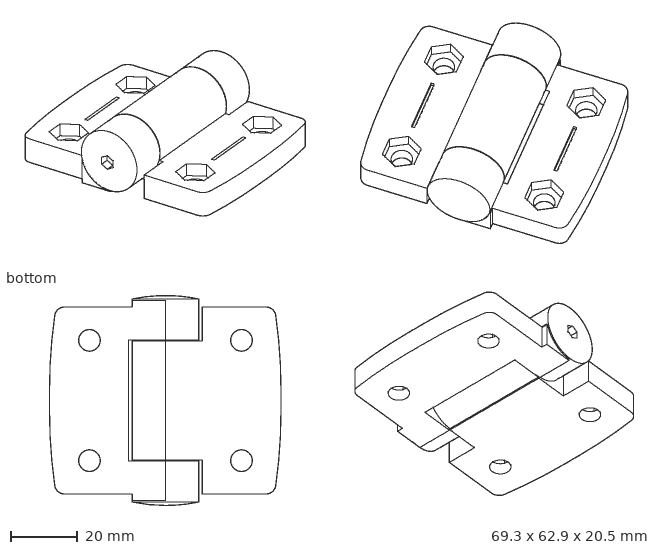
import cadquery as cq
import math

hinge_width = 69.33
cap_tip_span = 62.9

leaf_thickness = 8.0
leaf_length = 56.0
leaf_inner_x = 11.0
right_leaf_reach = 34.6
left_leaf_reach = hinge_width - right_leaf_reach
side_flat_length = 6.8
side_sag = 1.95
corner_radius = 3.0

barrel_radius = 10.0
axis_height = 10.5
barrel_length = 60.8
web_length = 60.0
middle_knuckle_length = 35.7
knuckle_gap = 0.2
pin_radius = 5.0

hole_diameter = 6.4
hole_x = 22.75
hole_spacing_y = 36.0
hex_across_flats = 10.2
hex_depth = 4.0

groove_width = 1.0
groove_length = 17.0
groove_depth = 1.0
groove_corner_radius = 0.1

socket_across_flats = 4.0
socket_depth = 3.0

middle_half = middle_knuckle_length / 2
outer_start = middle_half + knuckle_gap
hole_y = hole_spacing_y / 2


def hexagon_prism(plane, across_flats, depth):
    """Hexagonal prism on a plane through the origin, with two corners on the plane's Y axis."""
    across_corners = across_flats / math.cos(math.pi / 6)
    sketch_plane = cq.Workplane(plane).transformed(rotate=(0, 0, 90))
    return sketch_plane.polygon(6, across_corners).extrude(depth)


def box(x_min, x_max, y_min, y_max, height):
    """Block standing on the bottom plane."""
    size_x = x_max - x_min
    size_y = y_max - y_min
    block = cq.Workplane("XY").box(size_x, size_y, height, centered=False)
    return block.translate((x_min, y_min, 0))


def axis_cylinder(radius, y_min, y_max):
    """Cylinder on the hinge axis between two Y positions, its seam at the bottom."""
    plane = cq.Plane(origin=(0, y_min, axis_height), xDir=(0, 0, -1), normal=(0, 1, 0))
    return cq.Workplane(plane).circle(radius).extrude(y_max - y_min)


def leaf_plate(leaf_outer_x):
    """Plate on the +X side out to the given X, with a bowed outer edge and rounded outer corners."""
    half_length = leaf_length / 2
    half_flat = side_flat_length / 2
    run = half_length - half_flat
    bow_radius = (run**2 + side_sag**2) / (2 * side_sag)
    middle_run = run / 2
    middle_sag = bow_radius - math.sqrt(bow_radius**2 - middle_run**2)
    corner_x = leaf_outer_x - side_sag
    bow_x = leaf_outer_x - middle_sag
    bow_y = half_flat + middle_run
    plate = (
        cq.Workplane("XY")
        .moveTo(leaf_inner_x, -half_length)
        .lineTo(corner_x, -half_length)
        .threePointArc((bow_x, -bow_y), (leaf_outer_x, -half_flat))
        .lineTo(leaf_outer_x, half_flat)
        .threePointArc((bow_x, bow_y), (corner_x, half_length))
        .lineTo(leaf_inner_x, half_length)
        .close()
        .extrude(leaf_thickness)
    )
    for side in (-1, 1):
        corner = cq.selectors.NearestToPointSelector((corner_x, side * half_length, leaf_thickness / 2))
        plate = plate.edges("|Z").edges(corner).fillet(corner_radius)
    return plate


def cut_leaf_details(plate):
    """Screw holes, hexagonal recesses and the groove of the +X plate."""
    hole_points = [(hole_x, -hole_y), (hole_x, hole_y)]
    hole = cq.Workplane("XY").circle(hole_diameter / 2).extrude(leaf_thickness)
    hexagon = hexagon_prism("XY", hex_across_flats, hex_depth)
    for x, y in hole_points:
        plate = plate.cut(hole.translate((x, y, 0)))
        plate = plate.cut(hexagon.translate((x, y, leaf_thickness - hex_depth)))
    groove = (
        cq.Workplane("XY", origin=(hole_x, 0, leaf_thickness - groove_depth))
        .rect(groove_width, groove_length)
        .extrude(groove_depth)
        .edges("|Z")
        .fillet(groove_corner_radius)
    )
    return plate.cut(groove)


def end_cap():
    """Domed cap on the +Y end of the barrel."""
    base_y = barrel_length / 2
    rise = cap_tip_span / 2 - base_y
    dome_radius = (barrel_radius**2 + rise**2) / (2 * rise)
    mid_x = barrel_radius / 2
    mid_y = base_y + rise - dome_radius + math.sqrt(dome_radius**2 - mid_x**2)
    dome = (
        cq.Workplane("XY")
        .moveTo(0, base_y)
        .lineTo(barrel_radius, base_y)
        .threePointArc((mid_x, mid_y), (0, base_y + rise))
        .close()
        .revolve(360, (0, 0, 0), (0, 1, 0))
    )
    return dome.translate((0, 0, axis_height))


def middle_leaf():
    """+X leaf, carrying the middle knuckle."""
    web = box(0, leaf_inner_x, -middle_half, middle_half, leaf_thickness)
    barrel = axis_cylinder(barrel_radius, -middle_half, middle_half)
    plate = cut_leaf_details(leaf_plate(right_leaf_reach))
    return plate.union(web).union(barrel)


def outer_leaf():
    """-X leaf, carrying the two outer knuckles and their caps."""
    leaf = cut_leaf_details(leaf_plate(left_leaf_reach)).mirror("YZ")
    leaf_half = leaf_length / 2
    side = box(-leaf_inner_x, -barrel_radius, outer_start, leaf_half, leaf_thickness)
    web = box(-barrel_radius, 0, outer_start, web_length / 2, leaf_thickness)
    barrel = axis_cylinder(barrel_radius, outer_start, barrel_length / 2)
    end = side.union(web).union(barrel).union(end_cap())
    return leaf.union(end).union(end.mirror("XZ"))


def socket():
    """Hexagonal socket sunk into the -Y cap."""
    prism = hexagon_prism("XZ", socket_across_flats, socket_depth)
    return prism.translate((0, socket_depth - cap_tip_span / 2, axis_height))


pin = axis_cylinder(pin_radius, -outer_start, outer_start)
result = middle_leaf().union(outer_leaf()).union(pin).cut(socket())